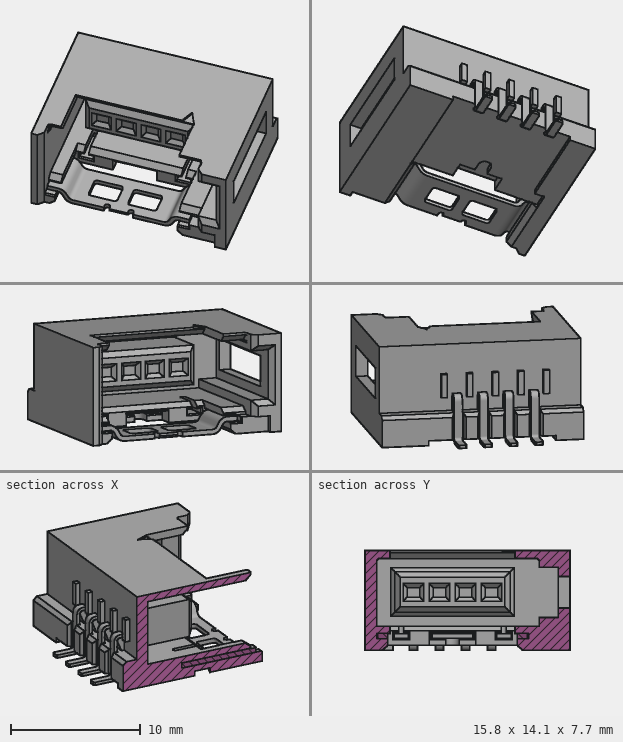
import math

import cadquery as cq


total_length = 15.8
height = 7.7
left_x = -6.75
right_x = left_x + total_length
rear_y = 11.42
step_rear_y = 12.64
step_height = 2.45
step_chamfer = 0.3
underside_z = 0.38

cavity_left_x = -5.81
cavity_right_x = 6.67
floor_z = 1.86
ceiling_z = 7.06
cavity_back_y = 10.43
ceiling_corner = 0.15
entry_chamfer = 0.43

groove_x = 8.12
groove_bottom_z = 2.55
groove_top_z = 6.4
window_sill_z = 3.27
window_top_z = groove_bottom_z + groove_top_z - window_sill_z
window_front_y = 1.93
window_back_y = 9.8

wing_y = 1.42
cutout_y = 5.01
cutout_half = 4.8
notch_radius = 0.24
cover_bevel = 0.45
floor_bevel_depth = 0.5
floor_bevel_height = 0.36
arrow_x = 4.31
arrow_half = 0.47
arrow_tip_y = 6.05
arrow_depth = 0.13

contact_count = 4
pitch = 2.0
contact_z = 4.47
plug_length = 8.88
plug_height = 3.11
plug_z = 4.5
plug_bevel = 0.43
plug_front_y = 5.9
plug_flare = 0.32
opening_width = 1.6
opening_height = 1.36
opening_depth = 0.32

clip_thickness = 0.38
clip_lift = 0.92
clip_front_y = 0.96
clip_rear_y = 4.47
clip_half = 5.77
bend_start_x = 3.68
bend_inner_radius = 0.43
bend_angle = math.radians(60)
hole_length = 2.32
hole_width = 1.69
hole_x = 1.6
hole_y = 2.72
hole_radius = 0.24
relief_x = 0.96
relief_width = 0.43
relief_end_y = 1.39
clip_bevel = 0.19

slot_bottom_z = clip_lift
slot_top_z = clip_lift + clip_thickness
slot_outer_x = 5.86
slot_end_y = 7.47
lead_in = 0.11
rail_x = 4.98
rail_foot_x = 5.4
rail_front_y = 0.43
rail_wall_x = 8.14
left_foot_x = -4.58
foot_front_y = 6.32
side_slot_x = 3.95
side_slot_width = 1.1
slit_width = 0.4
recess_half = 1.79
recess_back_y = 6.32
middle_slot_width = 3.13
middle_slit_width = 1.05

pin_width = 0.65
pin_thickness = 0.25
pin_end_y = 14.05
pin_back_y = 12.28
pin_top_z = 3.79
pin_bend = 0.24
pin_end_chamfer = 0.1
pin_slot_width = 0.77
flare_width = 0.16
flare_depth = 0.24
wedge_width = 0.71
wedge_foot_y = 11.66
rib_width = 0.46
rib_depth = 0.38
rib_top_z = 5.37

pin_positions = [(i - (contact_count - 1) / 2) * pitch for i in range(contact_count)]
rib_positions = [(i - contact_count / 2) * pitch for i in range(contact_count + 1)]


def block(x0, x1, y0, y1, z0, z1):
    """Box between two opposite corners."""
    return cq.Workplane("XY").box(x1 - x0, y1 - y0, z1 - z0, centered=False).translate((x0, y0, z0))


def along_x(points, x0, x1):
    """Extrude a (y, z) outline from x0 to x1."""
    return cq.Workplane("YZ").polyline(points).close().extrude(x1 - x0).translate((x0, 0, 0))


def along_y(points, y0, y1):
    """Extrude an (x, z) outline from y0 to y1."""
    return cq.Workplane("XZ").polyline(points).close().extrude(y0 - y1).translate((0, y0, 0))


def along_z(points, z0, z1):
    """Extrude an (x, y) outline from z0 to z1."""
    return cq.Workplane("XY").polyline(points).close().extrude(z1 - z0).translate((0, 0, z0))


def frustum(x, z, front, back, y0, y1):
    """Rectangular frustum along Y; front and back are (length along X, height along Z)."""
    return (
        cq.Workplane("XZ", origin=(x, y0, z)).rect(*front)
        .workplane(offset=y0 - y1).rect(*back).loft(ruled=True)
    )


def flared_slot(x, width, y0, y1):
    """Clip-height slot with a bevelled mouth at y0."""
    middle_z = (slot_bottom_z + slot_top_z) / 2
    mouth = (width + 2 * lead_in, clip_thickness + 2 * lead_in)
    slot = (width, clip_thickness)
    straight = block(x - width / 2, x + width / 2, y0, y1, slot_bottom_z, slot_top_z)
    return straight.union(frustum(x, middle_z, mouth, slot, y0, y0 + lead_in))


def round_slit(x, width, z0, z1):
    """Vertical slit that opens at the floor edge and has a round inner end."""
    centre_y = slot_end_y - width / 2
    slit = block(x - width / 2, x + width / 2, cutout_y, centre_y, z0, z1)
    end = cq.Workplane("XY", origin=(x, centre_y, z0)).circle(width / 2).extrude(z1 - z0)
    return slit.union(end)


def make_shell():
    """Outer block with the low step behind it."""
    profile = [
        (0, 0),
        (step_rear_y, 0),
        (step_rear_y, step_height - step_chamfer),
        (step_rear_y - step_chamfer, step_height),
        (rear_y, step_height),
        (rear_y, height),
        (0, height),
    ]
    return along_x(profile, left_x, right_x)


def make_cavity():
    """Mating cavity with the keying groove, the window and the bevelled entry."""
    cavity = along_y(
        [
            (cavity_left_x, floor_z),
            (cavity_right_x, floor_z),
            (cavity_right_x, ceiling_z - ceiling_corner),
            (cavity_right_x - ceiling_corner, ceiling_z),
            (cavity_left_x + ceiling_corner, ceiling_z),
            (cavity_left_x, ceiling_z - ceiling_corner),
        ],
        0,
        cavity_back_y,
    )
    groove = block(cavity_right_x, groove_x, 0, cavity_back_y, groove_bottom_z, groove_top_z)
    groove_middle_z = (groove_bottom_z + groove_top_z) / 2
    groove_size = (2 * (groove_x - cavity_right_x), groove_top_z - groove_bottom_z)
    groove_mouth = tuple(size + 2 * entry_chamfer for size in groove_size)
    groove_entry = frustum(cavity_right_x, groove_middle_z, groove_mouth, groove_size, 0, entry_chamfer)
    window = block(groove_x, right_x, window_front_y, window_back_y, window_sill_z, window_top_z)
    wall_entry = along_z(
        [
            (cavity_left_x - entry_chamfer, 0),
            (cavity_right_x + entry_chamfer, 0),
            (cavity_right_x, entry_chamfer),
            (cavity_left_x, entry_chamfer),
        ],
        0,
        height,
    )
    return cavity.union(groove).union(groove_entry).union(window).union(wall_entry)


def make_cover_cutout():
    """Stepped opening in the cover, its lower bevels and the arrow mark."""
    notch = (
        block(cavity_left_x, cavity_right_x, 0, wing_y, floor_z, height)
        .edges("|Z and >Y").fillet(notch_radius)
    )
    cutout = block(-cutout_half, cutout_half, 0, cutout_y, floor_z, height)
    opening = notch.union(cutout)
    bevel_top_z = ceiling_z + cover_bevel
    for edge_y, x0, x1 in (
        (wing_y, cavity_left_x, cavity_right_x),
        (cutout_y, -cutout_half, cutout_half),
    ):
        bevel = [
            (edge_y - notch_radius, ceiling_z),
            (edge_y + cover_bevel, ceiling_z),
            (edge_y, bevel_top_z),
            (edge_y - notch_radius, bevel_top_z),
        ]
        opening = opening.union(along_x(bevel, x0, x1))
    arrow = along_z(
        [(arrow_x - arrow_half, cutout_y), (arrow_x + arrow_half, cutout_y), (arrow_x, arrow_tip_y)],
        height - arrow_depth,
        height,
    )
    return opening.union(arrow)


def make_floor_cutout():
    """Space in front of and below the floor, which leaves the two clip rails."""
    front = block(cavity_left_x, cavity_right_x, 0, wing_y, slot_top_z, floor_z)
    rail_gap = block(cavity_left_x, rail_wall_x, 0, rail_front_y, 0, slot_top_z)
    centre = block(-cutout_half, cutout_half, 0, cutout_y, 0, floor_z)
    between_rails = along_y(
        [
            (-rail_foot_x, 0),
            (rail_foot_x, 0),
            (rail_x, underside_z),
            (rail_x, slot_top_z),
            (-rail_x, slot_top_z),
            (-rail_x, underside_z),
        ],
        0,
        cutout_y,
    )
    under_front = block(-rail_foot_x, rail_foot_x, cutout_y, foot_front_y, 0, underside_z)
    under_rear = block(left_foot_x, rail_foot_x, foot_front_y, step_rear_y, 0, underside_z)
    space = front.union(rail_gap).union(centre).union(between_rails).union(under_front).union(under_rear)
    bevel_z = floor_z - floor_bevel_height
    for edge_y, x0, x1 in (
        (wing_y, cavity_left_x, cavity_right_x),
        (cutout_y, -cutout_half, cutout_half),
    ):
        bevel = [(edge_y, bevel_z), (edge_y + floor_bevel_depth, floor_z), (edge_y, floor_z)]
        space = space.union(along_x(bevel, x0, x1))
    return space


def make_clip_slots():
    """Slots that hold the clip, with bevels where it slides in."""
    width = slot_outer_x - rail_x
    middle_x = (slot_outer_x + rail_x) / 2
    inside_walls = block(cavity_left_x, right_x, 0, rear_y, 0, height)
    mouth_bevel = [
        (wing_y, slot_top_z),
        (wing_y + lead_in, slot_top_z),
        (wing_y, slot_top_z + lead_in),
    ]
    slots = along_x(mouth_bevel, cavity_left_x, slot_outer_x)
    for side in (-1, 1):
        slots = slots.union(flared_slot(side * middle_x, width, rail_front_y, slot_end_y))
    return slots.intersect(inside_walls)


def make_relief_slots():
    """Three slots in the front edge of the floor, each with a round-ended slit."""
    recess = block(-recess_half, recess_half, cutout_y, recess_back_y, underside_z, slot_top_z)
    recess_bevel = along_x(
        [(cutout_y, slot_top_z), (cutout_y + lead_in, slot_top_z), (cutout_y, slot_top_z + lead_in)],
        -recess_half,
        recess_half,
    )
    middle_slot = flared_slot(0, middle_slot_width, recess_back_y, slot_end_y)
    below_ceiling = block(left_x, right_x, 0, rear_y, 0, slot_top_z)
    slots = recess.union(middle_slot.intersect(below_ceiling)).union(recess_bevel)
    slots = slots.union(round_slit(0, middle_slit_width, underside_z, slot_top_z))
    for side in (-1, 1):
        slots = slots.union(flared_slot(side * side_slot_x, side_slot_width, cutout_y, slot_end_y))
        slots = slots.union(round_slit(side * side_slot_x, slit_width, slot_bottom_z, floor_z))
    return slots


def make_plug():
    """Plug with a bevelled front, a flared root and a row of funnel-shaped contact openings."""
    shoulder_y = plug_front_y + plug_bevel
    shoulder = (plug_length, plug_height)
    face = tuple(size - 2 * plug_bevel for size in shoulder)
    base = tuple(size + 2 * plug_flare for size in shoulder)
    flare_y = cavity_back_y - plug_flare
    plug = frustum(0, plug_z, face, shoulder, plug_front_y, shoulder_y)
    plug = plug.union(frustum(0, plug_z, shoulder, shoulder, shoulder_y, flare_y))
    plug = plug.union(frustum(0, plug_z, shoulder, base, flare_y, cavity_back_y))
    mouth = (opening_width, opening_height)
    bottom = tuple(size - 2 * opening_depth for size in mouth)
    for x in pin_positions:
        plug = plug.cut(frustum(x, contact_z, mouth, bottom, plug_front_y, plug_front_y + opening_depth))
    return plug


def make_pin_slot(x):
    """Upright slot in the step, flared at the rear face."""
    half = pin_slot_width / 2
    front_y = pin_back_y - pin_thickness
    return along_z(
        [
            (x - half, front_y),
            (x + half, front_y),
            (x + half, step_rear_y - flare_depth),
            (x + half + flare_width, step_rear_y),
            (x - half - flare_width, step_rear_y),
            (x - half, step_rear_y - flare_depth),
        ],
        0,
        step_height,
    )


def make_terminal(x):
    """Bent terminal: out of the rear wall, down through the step and back along the board."""
    front_y = pin_back_y - pin_thickness
    under_z = pin_top_z - pin_thickness
    outer_bend = pin_bend + pin_thickness
    strip = (
        cq.Workplane("YZ", origin=(x - pin_width / 2, 0, 0))
        .moveTo(rear_y, under_z)
        .lineTo(front_y - pin_bend, under_z)
        .radiusArc((front_y, under_z - pin_bend), pin_bend)
        .lineTo(front_y, outer_bend)
        .radiusArc((front_y + outer_bend, 0), -outer_bend)
        .lineTo(pin_end_y, 0)
        .lineTo(pin_end_y, pin_thickness)
        .lineTo(pin_back_y + pin_bend, pin_thickness)
        .radiusArc((pin_back_y, outer_bend), pin_bend)
        .lineTo(pin_back_y, pin_top_z - outer_bend)
        .radiusArc((pin_back_y - outer_bend, pin_top_z), -outer_bend)
        .lineTo(rear_y, pin_top_z)
        .close().extrude(pin_width)
    )
    return strip.edges("|Z and >Y").chamfer(pin_end_chamfer)


def make_pin_wedge(x):
    """Wedge on the rear wall that fills the inside of the terminal's upper bend."""
    front_y = pin_back_y - pin_thickness
    under_z = pin_top_z - pin_thickness
    return (
        cq.Workplane("YZ", origin=(x - wedge_width / 2, 0, 0))
        .moveTo(rear_y, step_height)
        .lineTo(wedge_foot_y, step_height)
        .lineTo(front_y, under_z - pin_bend)
        .radiusArc((front_y - pin_bend, under_z), -pin_bend)
        .lineTo(rear_y, under_z)
        .close().extrude(wedge_width)
    )


def make_housing():
    """Housing with its four fixed terminals."""
    housing = make_shell().cut(make_cavity()).cut(make_cover_cutout()).cut(make_floor_cutout())
    housing = housing.cut(make_clip_slots()).cut(make_relief_slots()).union(make_plug())
    for x in pin_positions:
        housing = housing.cut(make_pin_slot(x)).union(make_pin_wedge(x)).union(make_terminal(x))
    rib_bottom_z = pin_top_z - pin_thickness
    for x in rib_positions:
        rib_left = x - rib_width / 2
        rib = block(rib_left, rib_left + rib_width, rear_y, rear_y + rib_depth, rib_bottom_z, rib_top_z)
        housing = housing.union(rib)
    return housing


def make_clip_bend(side):
    """Bent end of the clip, from the low plate up to the flat wing; side is -1 or 1."""
    inner = bend_inner_radius
    outer = inner + clip_thickness
    run_sin = math.sin(bend_angle)
    run_cos = math.cos(bend_angle)
    drop = 1 - run_cos
    slope_rise = clip_lift - (inner + outer) * drop
    wing_start = bend_start_x + (inner + outer) * run_sin + slope_rise * run_cos / run_sin
    wing_z = clip_lift + clip_thickness

    def at(x, z):
        return (side * x, z)

    return (
        cq.Workplane("XZ", origin=(0, clip_front_y, 0))
        .moveTo(0, 0)
        .lineTo(*at(bend_start_x, 0))
        .radiusArc(at(bend_start_x + outer * run_sin, outer * drop), -side * outer)
        .lineTo(*at(wing_start - inner * run_sin, clip_lift - inner * drop))
        .radiusArc(at(wing_start, clip_lift), side * inner)
        .lineTo(*at(clip_half, clip_lift))
        .lineTo(*at(clip_half, wing_z))
        .lineTo(*at(wing_start, wing_z))
        .radiusArc(at(wing_start - outer * run_sin, wing_z - outer * drop), -side * outer)
        .lineTo(*at(bend_start_x + inner * run_sin, clip_thickness + inner * drop))
        .radiusArc(at(bend_start_x, clip_thickness), side * inner)
        .lineTo(0, clip_thickness)
        .close().extrude(clip_front_y - clip_rear_y)
    )


def make_clip():
    """Sheet-metal clip: low plate with raised wings that slide into the housing."""
    wing_z = clip_lift + clip_thickness
    clip = make_clip_bend(-1).union(make_clip_bend(1))
    for x0, x1 in ((-clip_half, -rail_x), (rail_x, clip_half)):
        clip = clip.union(block(x0, x1, clip_rear_y, slot_end_y, clip_lift, wing_z))
    for side in (-1, 1):
        hole = (
            cq.Workplane("XY", origin=(side * hole_x, hole_y, 0))
            .rect(hole_length, hole_width).extrude(clip_thickness)
            .edges("|Z").fillet(hole_radius)
        )
        relief_y = relief_end_y - relief_width / 2
        relief_left = side * relief_x - relief_width / 2
        relief = block(relief_left, relief_left + relief_width, clip_front_y, relief_y, 0, clip_thickness)
        relief_end = (
            cq.Workplane("XY", origin=(side * relief_x, relief_y, 0))
            .circle(relief_width / 2).extrude(clip_thickness)
        )
        clip = clip.cut(hole).cut(relief).cut(relief_end)
    bevel = along_x(
        [(clip_front_y, 0), (clip_front_y + clip_bevel, 0), (clip_front_y, clip_bevel)],
        -relief_x,
        relief_x,
    )
    return clip.cut(bevel)


housing = make_housing()
clip = make_clip()

result = cq.Compound.makeCompound([housing.val(), clip.val()])